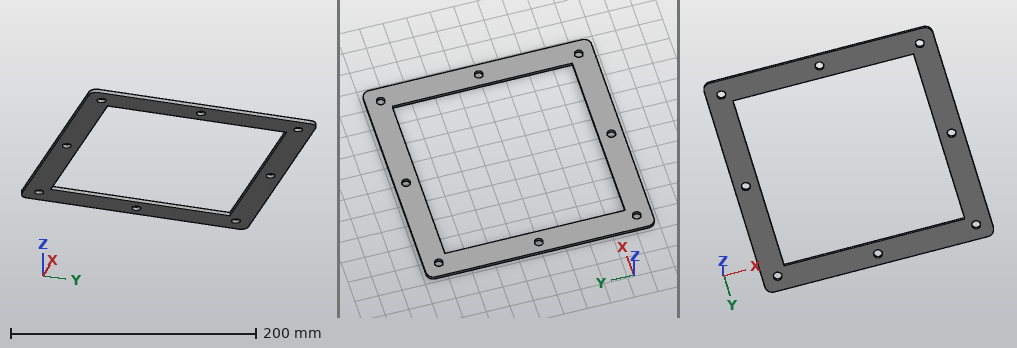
import cadquery as cq

side = 193.8
thickness = 3.1
opening_side = 153.1
corner_radius = 6.4

hole_diameter = 7.2
corner_hole_offset = 84.1
middle_hole_offset = 87.2

corner_hole_centers = [
    (x_sign * corner_hole_offset, y_sign * corner_hole_offset)
    for x_sign in (-1, 1)
    for y_sign in (-1, 1)
]
middle_hole_centers = [
    (middle_hole_offset, 0),
    (-middle_hole_offset, 0),
    (0, middle_hole_offset),
    (0, -middle_hole_offset),
]

plate = cq.Workplane("XY").box(side, side, thickness).edges("|Z").fillet(corner_radius)

frame = plate.faces(">Z").workplane().rect(opening_side, opening_side).cutThruAll()

result = (
    frame.faces(">Z")
    .workplane(origin=(0, 0, 0))
    .pushPoints(corner_hole_centers + middle_hole_centers)
    .hole(hole_diameter)
)